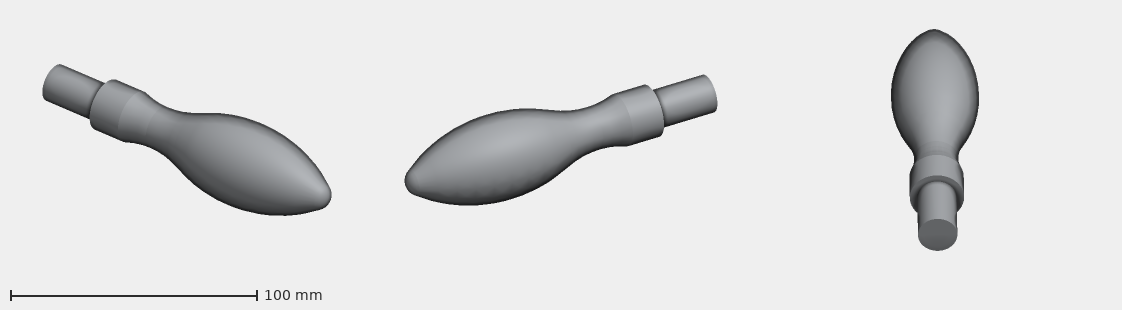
import cadquery as cq
import math

total_length = 138.0
pin_length = 26.0
pin_radius = 8.0
collar_end = 40.2
collar_radius = 11.0
neck_x = 52.6
neck_radius = 9.0
flare_end = 68.7
flare_radius = 12.3
belly_x = 96.6
belly_radius = 18.0
tip_start = 134.8
tip_radius = 5.5


def arc_radius(run, rise):
    """Radius of an arc that starts level and moves by run and rise."""
    return (run**2 + rise**2) / (2 * rise)


def arc_height(x, crest_x, crest_radius, radius):
    """Outline height of an arc of signed radius whose level point is the crest."""
    sagitta = abs(radius) - math.sqrt(radius**2 - (x - crest_x) ** 2)
    return crest_radius - math.copysign(sagitta, radius)


def arc_middle(start_x, end_x, crest_x, crest_radius, radius):
    """Point on the arc halfway along X."""
    x = (start_x + end_x) / 2
    return (x, arc_height(x, crest_x, crest_radius, radius))


neck_in_arc = -arc_radius(neck_x - collar_end, collar_radius - neck_radius)
neck_out_arc = -arc_radius(flare_end - neck_x, flare_radius - neck_radius)
neck_in_middle = arc_middle(collar_end, neck_x, neck_x, neck_radius, neck_in_arc)
neck_out_middle = arc_middle(neck_x, flare_end, neck_x, neck_radius, neck_out_arc)

tip_arc = arc_radius(tip_radius, total_length - tip_start)
tip_center_x = total_length - tip_arc
tip_middle = arc_middle(tip_start, total_length, tip_center_x, tip_arc, tip_arc)

profile = (
    cq.Workplane("XY")
    .moveTo(0, 0)
    .lineTo(0, pin_radius)
    .lineTo(pin_length, pin_radius)
    .lineTo(pin_length, collar_radius)
    .lineTo(collar_end, collar_radius)
    .threePointArc(neck_in_middle, (neck_x, neck_radius))
    .threePointArc(neck_out_middle, (flare_end, flare_radius))
    .threePointArc((belly_x, belly_radius), (tip_start, tip_radius))
    .threePointArc(tip_middle, (total_length, 0))
    .close()
)

result = profile.revolve(360, (0, 0, 0), (1, 0, 0))